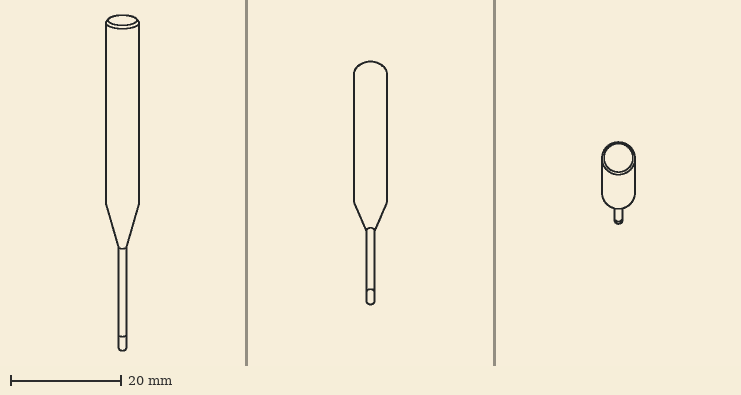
import cadquery as cq
import math

total_length = 64.0
shank_diameter = 6.0
neck_diameter = 1.5
cutter_diameter = 1.55

cutter_top = 3.0
neck_top = 20.0
taper_top = 28.5

chamfer_height = 0.5
chamfer_width = 0.4

shank_radius = shank_diameter / 2
neck_radius = neck_diameter / 2
cutter_radius = cutter_diameter / 2
ball_arc_offset = cutter_radius * math.sqrt(0.5)


def revolve_about_z(profile):
    """Turn a closed XZ profile through a full circle about the Z axis."""
    return profile.revolve(360, (0, 0, 0), (0, 1, 0))


def make_shank():
    """Cylindrical shank with a chamfered top rim and a tapered lower end."""
    profile = (
        cq.Workplane("XZ")
        .moveTo(0, neck_top)
        .lineTo(neck_radius, neck_top)
        .lineTo(shank_radius, taper_top)
        .lineTo(shank_radius, total_length - chamfer_height)
        .lineTo(shank_radius - chamfer_width, total_length)
        .lineTo(0, total_length)
        .close()
    )
    return revolve_about_z(profile)


def make_neck():
    """Slender cylinder between the cutter and the shank."""
    return (
        cq.Workplane("XY", origin=(0, 0, cutter_top))
        .circle(neck_radius)
        .extrude(neck_top - cutter_top)
    )


def make_cutter():
    """Cylindrical cutting head with a hemispherical tip."""
    profile = (
        cq.Workplane("XZ")
        .threePointArc(
            (ball_arc_offset, cutter_radius - ball_arc_offset),
            (cutter_radius, cutter_radius),
        )
        .lineTo(cutter_radius, cutter_top)
        .lineTo(0, cutter_top)
        .close()
    )
    return revolve_about_z(profile)


shank = make_shank()
neck = make_neck()
cutter = make_cutter()

result = cq.Compound.makeCompound([shank.val(), neck.val(), cutter.val()])